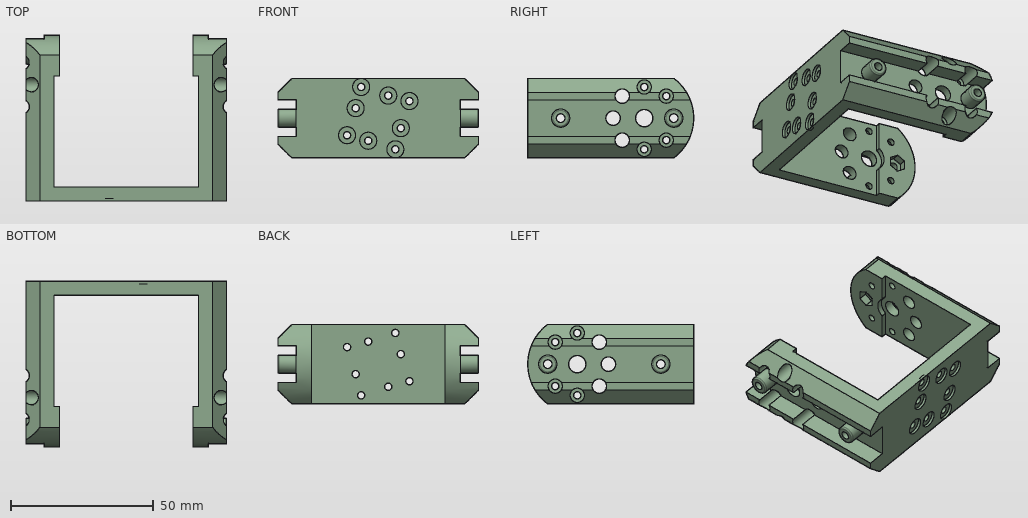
import cadquery as cq
import math

WIDTH = 70.7
HEIGHT = 28.0
BASE_THICKNESS = 5.0
ARM_THICKNESS = 10.0
EDGE_CHAMFER = 4.95

HUB_Y = 41.0
TIP_RADIUS = 17.45

CHANNEL_DEPTH = 6.4
CHANNEL_HEIGHT = 12.8

PAD_START_Y = 44.05
PAD_THICKNESS = 1.9
HUB_RELIEF_DIAMETER = 10.0

HUB_BORE = 6.0
CIRCLE_RADIUS = 10.95
CIRCLE_STEP = 45
CLEARANCE_HOLE = 5.0
SCREW_HOLE = 2.5
SCREW_HEAD_DIAMETER = 5.0
SCREW_WEB = 2.0
CLEARANCE_STEPS = (3, 4, 5)
SCREW_STEPS = (1, 2, 6, 7)

PIN_DIAMETER = 6.4
PIN_BORE = 3.0
PIN_ROUND = 0.5
TIP_PIN_Y = 51.4
BASE_PIN_Y = 11.6
NUT_ACROSS_FLATS = 5.5
NUT_DEPTH = 3.0

BASE_HOLE = 2.5
BASE_HEAD_DIAMETER = 6.0
BASE_HEAD_DEPTH = 1.0
BASE_SQUARES = ((12.5, 28.7), (8.7, 66.1))

TIP_Y = HUB_Y + TIP_RADIUS
PAD_INNER_X = ARM_THICKNESS + PAD_THICKNESS


def block(x_start, x_end, y_start, y_end, height=HEIGHT):
    """Box centred on Z = 0, with X measured inward from the left outer side."""
    size_x = x_end - x_start
    size_y = y_end - y_start
    box = cq.Workplane("XY").box(size_x, size_y, height, centered=(False, False, True))
    return box.translate((x_start - WIDTH / 2, y_start, 0))


def cross_cylinder(diameter, y, z, x_start, x_end):
    """Cylinder along X, with X measured inward from the left outer side."""
    plane = cq.Workplane("YZ", origin=(x_start - WIDTH / 2, y, z))
    return plane.circle(diameter / 2).extrude(x_end - x_start)


def tip_envelope():
    """Side profile of an arm, rounded at the tip, extruded over the half width."""
    half = HEIGHT / 2
    shoulder_y = HUB_Y + math.sqrt(TIP_RADIUS**2 - half**2)
    profile = (
        cq.Workplane("YZ", origin=(-WIDTH / 2, 0, 0))
        .moveTo(0, -half)
        .lineTo(shoulder_y, -half)
        .threePointArc((TIP_Y, 0), (shoulder_y, half))
        .lineTo(0, half)
        .close()
    )
    return profile.extrude(WIDTH / 2)


def arm_body():
    """Left arm with its pad, chamfered outer edges and channel."""
    arm = block(0, ARM_THICKNESS, 0, TIP_Y).edges("|Y and <X").chamfer(EDGE_CHAMFER)
    pad = block(ARM_THICKNESS, PAD_INNER_X, PAD_START_Y, TIP_Y)
    channel = block(0, CHANNEL_DEPTH, 0, TIP_Y, CHANNEL_HEIGHT)
    relief = cross_cylinder(HUB_RELIEF_DIAMETER, HUB_Y, 0, ARM_THICKNESS, PAD_INNER_X)
    return arm.union(pad).intersect(tip_envelope()).cut(channel).cut(relief)


def cut_hub_holes(arm):
    arm = arm.cut(cross_cylinder(HUB_BORE, HUB_Y, 0, 0, PAD_INNER_X))
    for step in CLEARANCE_STEPS + SCREW_STEPS:
        angle = math.radians(step * CIRCLE_STEP)
        y = HUB_Y + CIRCLE_RADIUS * math.cos(angle)
        z = CIRCLE_RADIUS * math.sin(angle)
        if step in CLEARANCE_STEPS:
            arm = arm.cut(cross_cylinder(CLEARANCE_HOLE, y, z, 0, PAD_INNER_X))
        else:
            inner_x = PAD_INNER_X if y > PAD_START_Y else ARM_THICKNESS
            arm = arm.cut(cross_cylinder(SCREW_HOLE, y, z, 0, PAD_INNER_X))
            arm = arm.cut(cross_cylinder(SCREW_HEAD_DIAMETER, y, z, 0, inner_x - SCREW_WEB))
    return arm


def add_pins(arm):
    for y in (BASE_PIN_Y, TIP_PIN_Y):
        pin = cross_cylinder(PIN_DIAMETER, y, 0, 0, ARM_THICKNESS).faces("<X").fillet(PIN_ROUND)
        arm = arm.union(pin).cut(cross_cylinder(PIN_BORE, y, 0, 0, PAD_INNER_X))
    return arm


def nut_pocket():
    """Hexagonal pocket in the pad behind the tip pin, with corners up and down."""
    across_corners = NUT_ACROSS_FLATS / math.cos(math.pi / 6)
    plane = cq.Workplane("YZ", origin=(PAD_INNER_X - WIDTH / 2, TIP_PIN_Y, 0))
    return plane.transformed(rotate=(0, 0, 90)).polygon(6, across_corners).extrude(-NUT_DEPTH)


def cut_base_holes(body):
    for radius, first_angle in BASE_SQUARES:
        points = []
        for corner in range(4):
            angle = math.radians(first_angle + 90 * corner)
            points.append((radius * math.cos(angle), radius * math.sin(angle)))
        holes = cq.Workplane("XZ").pushPoints(points)
        body = body.cut(holes.circle(BASE_HOLE / 2).extrude(-BASE_THICKNESS))
        body = body.cut(holes.circle(BASE_HEAD_DIAMETER / 2).extrude(-BASE_HEAD_DEPTH))
    return body


left_arm = add_pins(cut_hub_holes(arm_body())).cut(nut_pocket())
right_arm = left_arm.mirror("YZ")
base = block(ARM_THICKNESS, WIDTH - ARM_THICKNESS, 0, BASE_THICKNESS)

result = cut_base_holes(base.union(left_arm).union(right_arm))